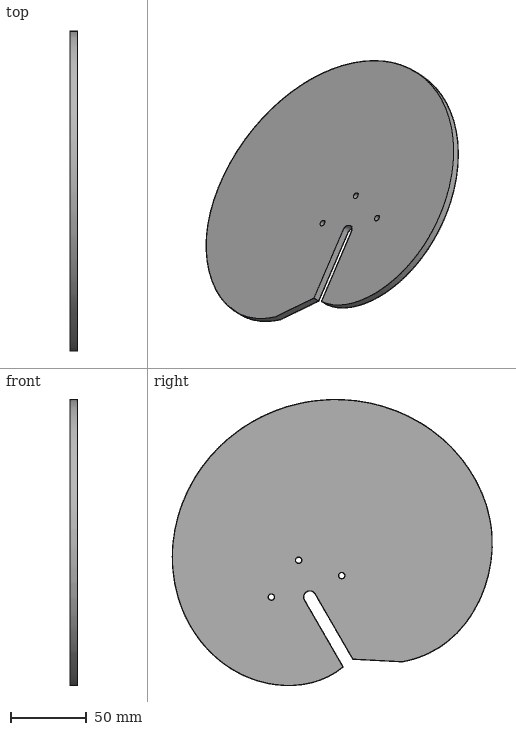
import cadquery as cq
import math

thickness = 5.0

slot_width = 8.0
slot_length = 75.0
slot_angle = -60.0

hole_diameter = 4.0
hole_circle_radius = 25.4
hole_pitch_angle = 73.0
hole_count = 3
first_hole_angle = 180.0

rim_radii = [50.1, 56.4, 63.4, 72.4, 83.4, 96.2, 110.1, 123.4, 133.2, 136.2, 128.2, 106.6, 74.6]
rim_turn = 335.0
closing_edge_angle = -3.0


def polar_point(radius, angle):
    """Point (Y, Z) at a radius and an angle from +Y towards +Z."""
    turn = math.radians(angle)
    return (radius * math.cos(turn), radius * math.sin(turn))


def make_plate():
    """Spiral plate, closed by the straight edge and a short side inside the slot."""
    step = rim_turn / (len(rim_radii) - 1)
    points = [polar_point(radius, slot_angle - i * step) for i, radius in enumerate(rim_radii)]
    corner = points[-1]

    axis_y, axis_z = polar_point(1.0, slot_angle)
    edge_y, edge_z = polar_point(1.0, closing_edge_angle)
    reach = (corner[1] * edge_y - corner[0] * edge_z) / (axis_z * edge_y - axis_y * edge_z)
    slot_meeting = (reach * axis_y, reach * axis_z)

    return (
        cq.Workplane("YZ")
        .spline(points)
        .lineTo(*slot_meeting)
        .close()
        .extrude(thickness)
    )


def make_slot():
    """Straight slot with a round end centred on the pivot, open through the rim."""
    arm = (
        cq.Workplane("YZ")
        .center(slot_length / 2, 0)
        .rect(slot_length, slot_width)
        .extrude(thickness)
        .rotate((0, 0, 0), (1, 0, 0), slot_angle)
    )
    round_end = cq.Workplane("YZ").circle(slot_width / 2).extrude(thickness)
    return arm.union(round_end)


def make_holes():
    """Through holes at an equal pitch around the pivot."""
    angles = [first_hole_angle - i * hole_pitch_angle for i in range(hole_count)]
    centres = [polar_point(hole_circle_radius, angle) for angle in angles]
    return cq.Workplane("YZ").pushPoints(centres).circle(hole_diameter / 2).extrude(thickness)


result = make_plate().cut(make_slot()).cut(make_holes())